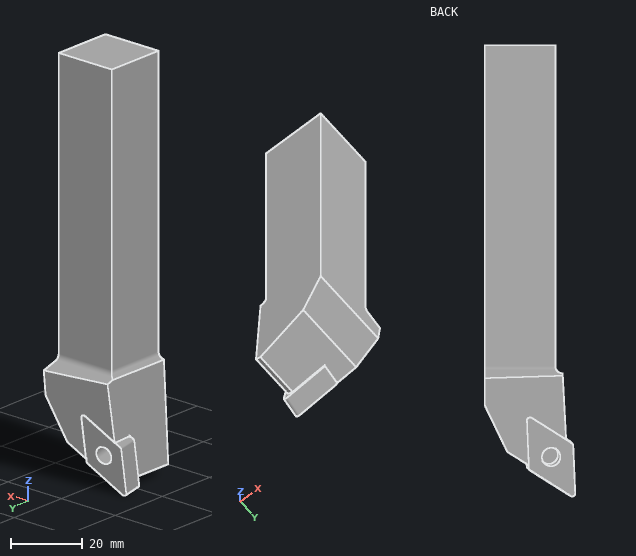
import cadquery as cq
import math


shank = 19.8
top_z = 126.4

head_y = 26.2
head_x = -2.0
shoulder_z = 36.4
shoulder_slope = math.radians(17)
shoulder_radius = 1.8
relief_x = 13.5
relief_z = 12.5
relief_top_z = 25.5
flank_tilt = math.radians(3)
end_slope = math.radians(32)
chamfer_x = -2.0
chamfer_top_z = 3.5
rake = math.radians(6)

inscribed_circle = 12.8
insert_angle = math.radians(55)
insert_thickness = 6.3
insert_hole = 5.2
nose_radius = 0.9
nose_x = -5.5
insert_recess = 0.1

fillet_run = shoulder_radius * (1 - math.sin(shoulder_slope))
fillet_end_z = shoulder_z - shoulder_radius * math.cos(shoulder_slope)
half_turn = (math.pi / 2 - shoulder_slope) / 2
fillet_mid_run = shoulder_radius * (1 - math.cos(half_turn))
fillet_mid_z = shoulder_z - shoulder_radius * math.sin(half_turn)


def shoulder_height(run):
    """Height of the sloping shoulder at a distance out from the shank face."""
    return fillet_end_z - (run - fillet_run) * math.tan(shoulder_slope)


rake_corner = cq.Vector(shank, head_y, shoulder_height(head_y - shank))
rake_slope = math.tan(rake)
rake_normal = cq.Vector(-rake_slope, 1, -rake_slope).normalized()


def on_rake_plane(x, z):
    """Point of the rake plane at a given X and Z."""
    y = rake_corner.y + rake_slope * (x - rake_corner.x + z - rake_corner.z)
    return cq.Vector(x, y, z)


def make_insert_blank(height):
    """Solid diamond on the insert's seat, rising `height` along the rake normal."""
    nose_centre = on_rake_plane(nose_x + nose_radius, nose_radius)
    nose_centre -= rake_normal * insert_recess
    flank_direction = cq.Vector(math.sin(flank_tilt), 0, math.cos(flank_tilt))
    flank_direction -= rake_normal * flank_direction.dot(rake_normal)
    seat = cq.Plane(
        origin=nose_centre - rake_normal * insert_thickness,
        xDir=flank_direction,
        normal=rake_normal,
    )
    side = inscribed_circle / math.sin(insert_angle)
    tip_u = -nose_radius / math.tan(insert_angle / 2)
    tip_v = -nose_radius
    across_u = side * math.cos(insert_angle)
    outline = [
        (tip_u, tip_v),
        (tip_u + side, tip_v),
        (tip_u + side + across_u, tip_v + inscribed_circle),
        (tip_u + across_u, tip_v + inscribed_circle),
    ]
    blank = cq.Workplane(seat).polyline(outline).close().extrude(height)
    return blank.edges(cq.selectors.ParallelDirSelector(rake_normal)).fillet(nose_radius)


def make_holder():
    """Shank and head in one piece, with the pocket for the insert."""
    shoulder_edge_z = shoulder_height(-head_x)
    flank_x = head_x - (shoulder_edge_z - chamfer_top_z) * math.tan(flank_tilt)
    chamfer_z = relief_z - (relief_x - chamfer_x) * math.tan(end_slope)
    side_outline = (
        cq.Workplane("XZ")
        .moveTo(shank, top_z)
        .lineTo(0, top_z)
        .lineTo(0, shoulder_z)
        .threePointArc((-fillet_mid_run, fillet_mid_z), (-fillet_run, fillet_end_z))
        .lineTo(head_x, shoulder_edge_z)
        .lineTo(flank_x, chamfer_top_z)
        .lineTo(chamfer_x, chamfer_z)
        .lineTo(relief_x, relief_z)
        .lineTo(shank, relief_top_z)
        .close()
        .extrude(-head_y)
    )

    edge_outline = (
        cq.Workplane("YZ", origin=(nose_x, 0, 0))
        .moveTo(0, top_z)
        .lineTo(shank, top_z)
        .lineTo(shank, shoulder_z)
        .threePointArc(
            (shank + fillet_mid_run, fillet_mid_z),
            (shank + fillet_run, fillet_end_z),
        )
        .lineTo(head_y, rake_corner.z)
        .lineTo(head_y, 0)
        .lineTo(0, 0)
        .close()
        .extrude(shank - nose_x)
    )

    cutter_plane = cq.Plane(origin=rake_corner, xDir=(1, rake_slope, 0), normal=rake_normal)
    rake_cutter = cq.Workplane(cutter_plane).rect(top_z, top_z).extrude(head_y)
    shank_zone = cq.Workplane("XY").box(shank, shank, top_z, centered=False)
    rake_cutter = rake_cutter.cut(shank_zone.translate((0, 0, shoulder_z)))

    pocket = make_insert_blank(2 * insert_thickness)
    return side_outline.intersect(edge_outline).cut(rake_cutter).cut(pocket)


def make_insert():
    """Diamond insert with its through hole in the middle."""
    blank = make_insert_blank(insert_thickness)
    rake_face = blank.faces(cq.selectors.DirectionMinMaxSelector(rake_normal))
    return rake_face.workplane(centerOption="CenterOfMass").hole(insert_hole)


holder = make_holder()
insert = make_insert()

result = cq.Compound.makeCompound([holder.solids().val(), insert.solids().val()])